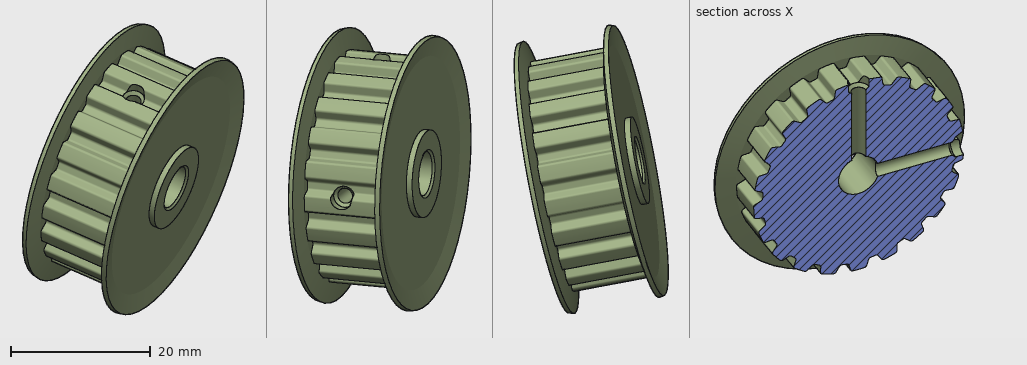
import cadquery as cq
import math


tooth_count = 21
tip_radius = 16.75
groove_depth = 1.43
groove_bottom_half_width = 0.65
groove_wall_angle = 25.0
groove_bottom_fillet = 0.4
tooth_tip_fillet = 0.4

flange_radius = 19.85
flange_bend_radius = 16.87
flange_inner_x = 5.55
flange_thickness = 0.7
flange_lip_spread = 0.67

overall_width = 14.3
hub_radius = 6.3
bore_radius = 3.18
bore_chamfer = 0.3

screw_radius = 1.1
screw_clearance_radius = 1.6

half_width = overall_width / 2
flange_outer_x = flange_inner_x + flange_thickness
groove_floor_radius = tip_radius - groove_depth


def revolve_about_x(profile):
    """Turn a closed XZ half-profile around the X axis."""
    return profile.close().revolve(360, (0, 0, 0), (1, 0, 0))


def make_groove():
    """Straight-walled tooth groove at +Z, with rounded bottom corners."""
    cutter_top = flange_radius
    cutter_rise = cutter_top - groove_floor_radius
    top_half_width = groove_bottom_half_width + cutter_rise * math.tan(math.radians(groove_wall_angle))
    outline = [
        (-groove_bottom_half_width, groove_floor_radius),
        (groove_bottom_half_width, groove_floor_radius),
        (top_half_width, cutter_top),
        (-top_half_width, cutter_top),
    ]
    groove = cq.Workplane("YZ").polyline(outline).close().extrude(flange_inner_x, both=True)
    return groove.faces("<Z").edges("|X").fillet(groove_bottom_fillet)


def make_cylinder(radius, half_length):
    """Cylinder on the X axis, centred on the origin."""
    return cq.Workplane("YZ").circle(radius).extrude(half_length, both=True)


def make_toothed_ring():
    """Cylinder with evenly spaced grooves, one of them centred on +Z."""
    ring = make_cylinder(tip_radius, flange_inner_x).rotate((0, 0, 0), (1, 0, 0), 90)
    groove = make_groove()
    for index in range(tooth_count):
        ring = ring.cut(groove.rotate((0, 0, 0), (1, 0, 0), index * 360 / tooth_count))

    mid_depth_radius = tip_radius - groove_depth / 2
    tip_edges = []
    for edge in ring.edges("|X").vals():
        middle = edge.Center()
        if math.hypot(middle.y, middle.z) > mid_depth_radius:
            tip_edges.append(edge)
    return ring.newObject(tip_edges).fillet(tooth_tip_fillet)


def make_flange():
    """Sheet disc on the +X side whose lip is bent outwards."""
    lip_angle = math.atan2(flange_lip_spread, flange_radius - flange_bend_radius)
    inner_rim = (flange_inner_x + flange_lip_spread, flange_radius)
    outer_rim = (
        inner_rim[0] + flange_thickness * math.cos(lip_angle),
        inner_rim[1] - flange_thickness * math.sin(lip_angle),
    )
    profile = (
        cq.Workplane("XZ")
        .moveTo(flange_inner_x, 0)
        .lineTo(flange_inner_x, flange_bend_radius)
        .lineTo(*inner_rim)
        .lineTo(*outer_rim)
        .lineTo(flange_outer_x, flange_bend_radius)
        .lineTo(flange_outer_x, 0)
    )
    return revolve_about_x(profile)


def make_screw_hole():
    """Radial hole at +Z, countersunk at 45 degrees from a wide pocket down to the groove floor."""
    countersink_depth = screw_clearance_radius - screw_radius
    return (
        cq.Workplane("XZ")
        .lineTo(screw_radius, 0)
        .lineTo(screw_radius, groove_floor_radius - countersink_depth)
        .lineTo(screw_clearance_radius, groove_floor_radius)
        .lineTo(screw_clearance_radius, flange_radius)
        .lineTo(0, flange_radius)
        .close()
        .revolve(360, (0, 0, 0), (0, 1, 0))
    )


def make_bore():
    """Through bore with a chamfer at both hub faces."""
    mouth_radius = bore_radius + bore_chamfer
    profile = (
        cq.Workplane("XZ")
        .moveTo(-half_width, 0)
        .lineTo(-half_width, mouth_radius)
        .lineTo(-half_width + bore_chamfer, bore_radius)
        .lineTo(half_width - bore_chamfer, bore_radius)
        .lineTo(half_width, mouth_radius)
        .lineTo(half_width, 0)
    )
    return revolve_about_x(profile)


hub = make_cylinder(hub_radius, half_width)
flange = make_flange()
body = make_toothed_ring().union(hub).union(flange).union(flange.mirror("YZ"))

screw_hole = make_screw_hole()
for angle in (0, -90):
    body = body.cut(screw_hole.rotate((0, 0, 0), (1, 0, 0), angle))

result = body.cut(make_bore())